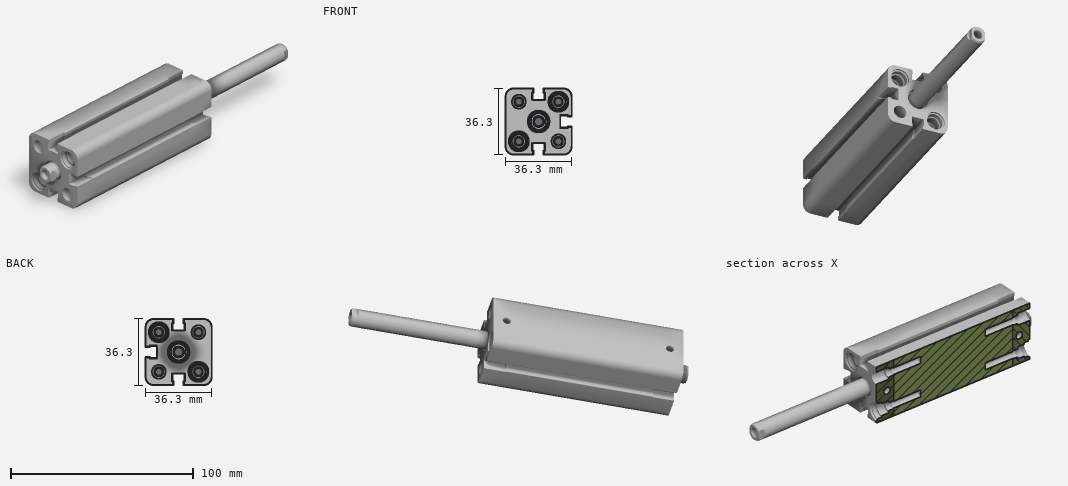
import cadquery as cq

HOUSING_SIDE = 36.3
CORNER_RADIUS = 4.5
CAP_LENGTH = 12.0
TUBE_LENGTH = 83.3

ROD_LENGTH = 190.1
ROD_DIAMETER = 10.0
ROD_CHAMFER_LENGTH = 1.1
ROD_CHAMFER_DEPTH = 0.5
FRONT_PROTRUSION = 6.5
FLAT_WIDTH = 8.0
FLAT_LENGTH = 3.0

THREAD_DIAMETER = 5.0
CORE_DIAMETER = 4.2
ROD_THREAD_DEPTH = 11.5
ROD_MOUTH_DIAMETER = 6.0

SLOT_DEPTH = 6.3
LIP_HEIGHT = 2.3
TUBE_MOUTH_WIDTH = 5.1
TUBE_SLOT_WIDTH = 6.3
CAP_MOUTH_WIDTH = 6.3
CAP_SLOT_WIDTH = 7.5
LIP_RADIUS = 0.5
SLOT_ANGLES = (0, 90, 180)

WIPER_RECESS_DIAMETER = 12.0
WIPER_RECESS_DEPTH = 1.9
PORT_INSET = 7.6
PORT_DEPTH = 9.5
CORNER_OFFSET = 10.8
SMALL_BORE_DIAMETER = 7.6
CORNER_BORE_DEPTH = 8.5
LARGE_MOUTH_DIAMETER = 11.0
LARGE_MOUTH_DEPTH = 1.1
LARGE_BORE_DIAMETER = 9.5
LARGE_BORE_DEPTH = 3.8
TUBE_SCREW_DEPTH = 19.0

ROD_FRONT = -ROD_LENGTH / 2
CAP_FRONT = ROD_FRONT + FRONT_PROTRUSION
TUBE_FRONT = CAP_FRONT + CAP_LENGTH
TUBE_REAR = TUBE_FRONT + TUBE_LENGTH
TUBE_MIDDLE = (TUBE_FRONT + TUBE_REAR) / 2

AXIS_Y = cq.Vector(0, 1, 0)
CORNERS = [(x, z) for x in (-CORNER_OFFSET, CORNER_OFFSET) for z in (-CORNER_OFFSET, CORNER_OFFSET)]


def cylinder_y(diameter, start, length, x=0, z=0):
    """Cylinder along +Y from y = start."""
    return cq.Workplane(cq.Solid.makeCylinder(diameter / 2, length, cq.Vector(x, start, z), AXIS_Y))


def cone_y(start_diameter, end_diameter, start, length, x=0, z=0):
    """Cone frustum along +Y from y = start."""
    return cq.Workplane(
        cq.Solid.makeCone(start_diameter / 2, end_diameter / 2, length, cq.Vector(x, start, z), AXIS_Y)
    )


def mirror_y(shape, middle):
    """Copy of a shape mirrored about the plane y = middle."""
    return shape.mirror("XZ", (0, middle, 0))


def square_bar(start, length):
    bar = cq.Workplane("XY").box(HOUSING_SIDE, length, HOUSING_SIDE).edges("|Y").fillet(CORNER_RADIUS)
    return bar.translate((0, start + length / 2, 0))


def slot_cutter(start, length, mouth_width, slot_width, lip_radius):
    """Undercut slot open at the top side, with the mouth edges rounded when lip_radius is not 0."""
    top = HOUSING_SIDE / 2
    half_mouth = mouth_width / 2
    half_slot = slot_width / 2
    profile = cq.Workplane("XZ", origin=(0, start, 0)).moveTo(-half_mouth - lip_radius, top)
    if lip_radius:
        profile = profile.radiusArc((-half_mouth, top - lip_radius), lip_radius)
    profile = (
        profile.lineTo(-half_mouth, top - LIP_HEIGHT)
        .lineTo(-half_slot, top - LIP_HEIGHT)
        .lineTo(-half_slot, top - SLOT_DEPTH)
        .lineTo(half_slot, top - SLOT_DEPTH)
        .lineTo(half_slot, top - LIP_HEIGHT)
        .lineTo(half_mouth, top - LIP_HEIGHT)
        .lineTo(half_mouth, top - lip_radius)
    )
    if lip_radius:
        profile = profile.radiusArc((half_mouth + lip_radius, top), lip_radius)
    return profile.close().extrude(-length)


def cut_slots(body, cutter):
    for angle in SLOT_ANGLES:
        body = body.cut(cutter.rotate((0, 0, 0), (0, 1, 0), angle))
    return body


def make_tube():
    tube = square_bar(TUBE_FRONT, TUBE_LENGTH)
    cutter = slot_cutter(TUBE_FRONT, TUBE_LENGTH, TUBE_MOUTH_WIDTH, TUBE_SLOT_WIDTH, LIP_RADIUS)
    tube = cut_slots(tube, cutter)
    tube = tube.cut(cylinder_y(ROD_DIAMETER, TUBE_FRONT, TUBE_LENGTH))
    for x, z in CORNERS:
        screw_hole = cylinder_y(CORE_DIAMETER, TUBE_FRONT, TUBE_SCREW_DEPTH, x, z)
        tube = tube.cut(screw_hole).cut(mirror_y(screw_hole, TUBE_MIDDLE))
    return tube


def cut_corner_holes(cap):
    """Stepped screw holes; the two corners on the rising diagonal have a wider two-step mouth."""
    for x, z in CORNERS:
        cap = cap.cut(cylinder_y(SMALL_BORE_DIAMETER, CAP_FRONT, CORNER_BORE_DEPTH, x, z))
        cap = cap.cut(cylinder_y(THREAD_DIAMETER, CAP_FRONT, CAP_LENGTH, x, z))
        if x == z:
            cap = cap.cut(cylinder_y(LARGE_BORE_DIAMETER, CAP_FRONT, LARGE_BORE_DEPTH, x, z))
            cap = cap.cut(cylinder_y(LARGE_MOUTH_DIAMETER, CAP_FRONT, LARGE_MOUTH_DEPTH, x, z))
    return cap


def cut_port(cap):
    """Threaded air port on the -X side, with a countersunk mouth."""
    mouth = cq.Vector(-HOUSING_SIDE / 2, CAP_FRONT + PORT_INSET, 0)
    inward = cq.Vector(1, 0, 0)
    chamfer = (THREAD_DIAMETER - CORE_DIAMETER) / 2
    cap = cap.cut(cq.Workplane(cq.Solid.makeCylinder(CORE_DIAMETER / 2, PORT_DEPTH, mouth, inward)))
    countersink = cq.Solid.makeCone(THREAD_DIAMETER / 2, CORE_DIAMETER / 2, chamfer, mouth, inward)
    return cap.cut(cq.Workplane(countersink))


def make_front_cap():
    cap = square_bar(CAP_FRONT, CAP_LENGTH)
    cap = cut_slots(cap, slot_cutter(CAP_FRONT, CAP_LENGTH, CAP_MOUTH_WIDTH, CAP_SLOT_WIDTH, 0))
    cap = cap.cut(cylinder_y(ROD_DIAMETER, CAP_FRONT, CAP_LENGTH))
    cap = cap.cut(cylinder_y(WIPER_RECESS_DIAMETER, CAP_FRONT, WIPER_RECESS_DEPTH))
    cap = cut_corner_holes(cap)
    return cut_port(cap)


def rod_end_cutters():
    """Cutters for the front rod end: chamfer, two wrench flats and threaded hole."""
    radius = ROD_DIAMETER / 2
    flat = FLAT_WIDTH / 2
    runout = radius - flat
    tip_diameter = ROD_DIAMETER - 2 * ROD_CHAMFER_DEPTH
    chamfer = cylinder_y(ROD_DIAMETER, ROD_FRONT, ROD_CHAMFER_LENGTH).cut(
        cone_y(tip_diameter, ROD_DIAMETER, ROD_FRONT, ROD_CHAMFER_LENGTH)
    )
    flat_cutter = (
        cq.Workplane("XY", origin=(0, 0, -radius))
        .moveTo(flat, ROD_FRONT)
        .lineTo(flat, ROD_FRONT + FLAT_LENGTH)
        .lineTo(radius, ROD_FRONT + FLAT_LENGTH + runout)
        .lineTo(radius, ROD_FRONT)
        .close()
        .extrude(ROD_DIAMETER)
    )
    countersink = (ROD_MOUTH_DIAMETER - THREAD_DIAMETER) / 2
    hole = cylinder_y(THREAD_DIAMETER, ROD_FRONT, ROD_THREAD_DEPTH).union(
        cone_y(ROD_MOUTH_DIAMETER, THREAD_DIAMETER, ROD_FRONT, countersink)
    )
    return [chamfer, flat_cutter, flat_cutter.mirror("YZ"), hole]


def make_rod():
    rod = cylinder_y(ROD_DIAMETER, ROD_FRONT, ROD_LENGTH)
    for cutter in rod_end_cutters():
        rod = rod.cut(cutter).cut(mirror_y(cutter, 0))
    return rod


tube = make_tube()
front_cap = make_front_cap()
rear_cap = mirror_y(front_cap, TUBE_MIDDLE)
rod = make_rod()

result = cq.Compound.makeCompound([tube.val(), front_cap.val(), rear_cap.val(), rod.val()])